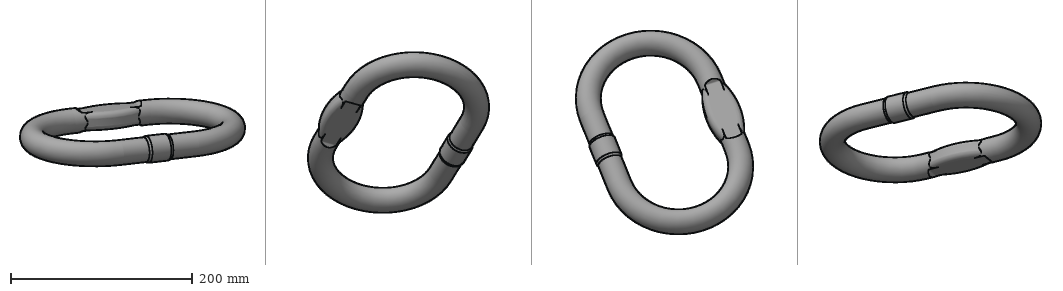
import cadquery as cq
import math

total_length = 256.0
straight_length = 90.0
inner_width = 110.0
bar_diameter = (total_length - straight_length - inner_width) / 2
bar_radius = bar_diameter / 2
bend_radius = inner_width / 2 + bar_radius
half_straight = straight_length / 2

collar_radius = 15.0
collar_length = 28.7
collar_land_length = 22.5

pad_thickness = 21.0
pad_width = 39.0
flank_radius = 87.0
flank_fillet = 7.0
flat_floor_length = 70.1
flat_mouth_length = 76.8
flat_foot_fillet = 2.0
pad_length = 67.5


def make_bar():
    """Round bar swept once round the oval centre line."""
    centre_line = (
        cq.Workplane("XY")
        .moveTo(bend_radius, -half_straight)
        .lineTo(bend_radius, half_straight)
        .threePointArc((0, half_straight + bend_radius), (-bend_radius, half_straight))
        .lineTo(-bend_radius, -half_straight)
        .threePointArc((0, -half_straight - bend_radius), (bend_radius, -half_straight))
        .close()
    )
    return (
        cq.Workplane("XZ", origin=(bend_radius, -half_straight, 0))
        .circle(bar_radius)
        .sweep(centre_line)
    )


def make_collar():
    """Sleeve with tapered ends, turned about the +X leg."""
    profile = [
        (0, -collar_length / 2),
        (bar_radius, -collar_length / 2),
        (collar_radius, -collar_land_length / 2),
        (collar_radius, collar_land_length / 2),
        (bar_radius, collar_length / 2),
        (0, collar_length / 2),
    ]
    return (
        cq.Workplane("XY", origin=(bend_radius, 0, 0))
        .polyline(profile)
        .close()
        .revolve(360, (0, 0, 0), (0, 1, 0))
    )


def make_flat_cutter(side):
    """Slope-ended notch that flattens the top (side=1) or bottom (side=-1) of the -X leg."""
    floor_z = side * pad_thickness / 2
    mouth_z = side * bar_radius
    outline = [
        (-flat_floor_length / 2, floor_z),
        (flat_floor_length / 2, floor_z),
        (flat_mouth_length / 2, mouth_z),
        (-flat_mouth_length / 2, mouth_z),
    ]
    foot_edges = "<Z" if side > 0 else ">Z"
    return (
        cq.Workplane("YZ", origin=(-bend_radius, 0, 0))
        .polyline(outline)
        .close()
        .extrude(bar_radius, both=True)
        .edges("|X")
        .edges(foot_edges)
        .fillet(flat_foot_fillet)
    )


def make_pad():
    """Lens-shaped plate with rounded rims, trimmed to end within the flats."""
    half_width = pad_width / 2
    half_tip = math.sqrt(flank_radius**2 - (flank_radius - half_width) ** 2)
    lens = (
        cq.Workplane("XY", origin=(-bend_radius, 0, -pad_thickness / 2))
        .moveTo(0, -half_tip)
        .threePointArc((half_width, 0), (0, half_tip))
        .threePointArc((-half_width, 0), (0, -half_tip))
        .close()
        .extrude(pad_thickness)
        .edges("not |Z")
        .fillet(flank_fillet)
    )
    trim = cq.Workplane("XY", origin=(-bend_radius, 0, 0)).box(pad_width, pad_length, pad_thickness)
    return lens.intersect(trim)


link = make_bar().union(make_collar())
for side in (1, -1):
    link = link.cut(make_flat_cutter(side))
result = link.union(make_pad())